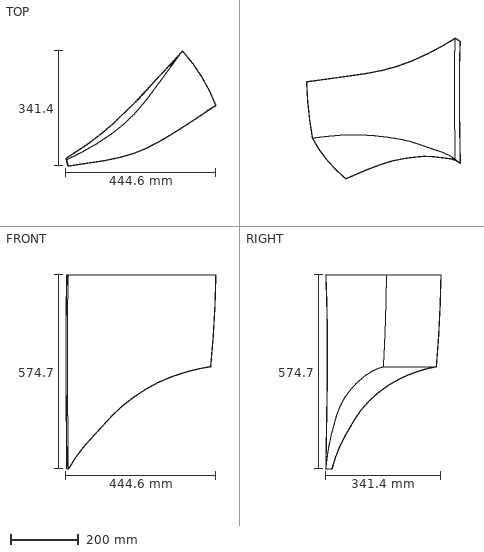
import math

import cadquery as cq

HEIGHT = 574.71
AXIS_X = -39.8
AXIS_Y = -6.1
ROOT_RADIUS = 48.5

TIP_RADIUS = 518.6
TIP_MID_RADIUS = 513.0
TIP_LOW_RADIUS = 501.0
TIP_MID_HEIGHT = 440.0
TIP_LOW_HEIGHT = 303.0

FRONT_SIDE = [(7.2, 0.0), (147.5, 22.8), (218.0, 43.8), (271.7, 70.0), (444.8, 180.0)]
BACK_SIDE = [(2.6, 19.3), (131.0, 92.7), (183.0, 135.0), (229.0, 184.7), (279.0, 251.0), (345.0, 341.3)]
TIP_OVERRUN = 30.0

BOTTOM_PROFILE = [
    (ROOT_RADIUS, 0.0), (86.0, 56.0), (150.0, 126.0), (196.0, 172.5),
    (254.0, 216.0), (319.0, 252.0), (402.0, 282.5), (TIP_LOW_RADIUS, TIP_LOW_HEIGHT),
]

BOW_DIRECTION = (-0.52, 0.85)
ROOT_BOW = 5.0
BODY_BOW = 19.5
BODY_BOW_SHARPNESS = 1.4
BOW_UPWARD_SKEW = 1.5
BOW_SCALE = 2.35
SECTION_COUNT = 7


def bow(x, y, z):
    """Sideways shift of a crown outline point when carried down to height z."""
    radius = math.hypot(x - AXIS_X, y - AXIS_Y)
    span = min(max((radius - ROOT_RADIUS) / (TIP_RADIUS - ROOT_RADIUS), 0.0), 1.0)
    largest = ROOT_BOW * (1 - span) + BODY_BOW * math.sin(math.pi * span) ** BODY_BOW_SHARPNESS
    level = z / HEIGHT
    return largest * BOW_SCALE * level * (1 - level) * (1 + BOW_UPWARD_SKEW * level)


def extended(side):
    """Carry a side straight on past its last point so that the tip surface can trim it."""
    (x0, y0), (x1, y1) = side[-2:]
    step = TIP_OVERRUN / math.hypot(x1 - x0, y1 - y0)
    return side + [(x1 + step * (x1 - x0), y1 + step * (y1 - y0))]


def shifted(side, z):
    """Points of a side at height z, moved by the bow."""
    points = []
    for x, y in extended(side):
        shift = bow(x, y, z)
        points.append(cq.Vector(x + shift * BOW_DIRECTION[0], y + shift * BOW_DIRECTION[1], z))
    return points


def vane_section(z):
    """Closed outline of the vane at height z, running past the tip surface."""
    front = shifted(FRONT_SIDE, z)
    back = shifted(BACK_SIDE, z)
    edges = [
        cq.Edge.makeSpline(front),
        cq.Edge.makeLine(front[-1], back[-1]),
        cq.Edge.makeSpline(back[::-1]),
        cq.Edge.makeLine(back[0], front[0]),
    ]
    return cq.Wire.assembleEdges(edges)


def vane_body():
    """Bowed vane at full height, before its bottom and tip are trimmed."""
    heights = [HEIGHT * i / (SECTION_COUNT - 1) for i in range(SECTION_COUNT)]
    return cq.Solid.makeLoft([vane_section(z) for z in heights])


def runner_envelope():
    """Round body bounded by the swept bottom, the tip surface and the crown plane."""
    return (
        cq.Workplane("XZ")
        .moveTo(0, HEIGHT)
        .lineTo(0, 0)
        .lineTo(*BOTTOM_PROFILE[0])
        .spline(BOTTOM_PROFILE[1:], includeCurrent=True)
        .threePointArc((TIP_MID_RADIUS, TIP_MID_HEIGHT), (TIP_RADIUS, HEIGHT))
        .close()
        .revolve(360, (0, 0), (0, 1))
        .translate((AXIS_X, AXIS_Y, 0))
    )


result = runner_envelope().intersect(cq.Workplane(vane_body()))